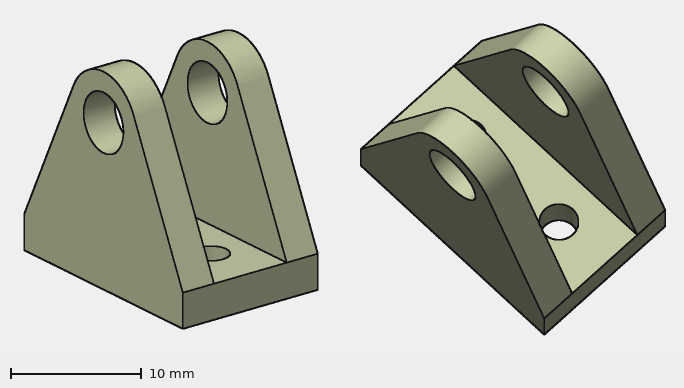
import cadquery as cq
import math

length = 20.0
depth = 13.0
plate_thickness = 3.0

ear_thickness = 3.0
total_height = 18.02
ear_radius = 4.22
pin_diameter = 5.0
pin_height = total_height - ear_radius

mount_diameter = 3.0
mount_spacing = length / 2


def make_base():
    base = cq.Workplane("XY").box(length, depth, plate_thickness, centered=(True, True, False))
    return (
        base.faces(">Z").workplane()
        .pushPoints([(-mount_spacing / 2, 0), (mount_spacing / 2, 0)])
        .hole(mount_diameter)
    )


def make_ear(back_y):
    """Ear with sloped sides tangent to its round top, extending toward -Y from back_y."""
    half_length = length / 2
    rise = pin_height - plate_thickness
    corner_angle = math.atan2(-rise, half_length)
    tangent_angle = corner_angle + math.acos(ear_radius / math.hypot(half_length, rise))
    tangent_x = ear_radius * math.cos(tangent_angle)
    tangent_z = pin_height + ear_radius * math.sin(tangent_angle)
    return (
        cq.Workplane("XZ", origin=(0, back_y, 0))
        .moveTo(-half_length, 0)
        .lineTo(half_length, 0)
        .lineTo(half_length, plate_thickness)
        .lineTo(tangent_x, tangent_z)
        .threePointArc((0, total_height), (-tangent_x, tangent_z))
        .lineTo(-half_length, plate_thickness)
        .close()
        .moveTo(0, pin_height)
        .circle(pin_diameter / 2)
        .extrude(ear_thickness)
    )


result = make_base()
for back_y in (depth / 2, -depth / 2 + ear_thickness):
    result = result.union(make_ear(back_y))